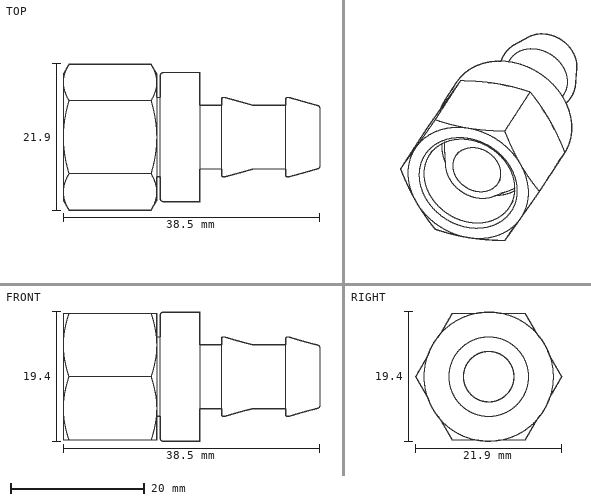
import cadquery as cq
import math

total_length = 38.5
nut_length = 14.0
collar_start = 14.5
collar_end = 20.5

across_flats = 18.98
corner_chamfer_angle = 30.0
thread_radius = 7.15
thread_chamfer = 0.58

nose_start = 4.15
nose_tip_radius = 4.93
nose_base_radius = 6.78
nose_half_angle = 20.0
nose_round = 0.27
nose_length = (nose_base_radius - nose_tip_radius) / math.tan(math.radians(nose_half_angle))
thread_depth = nose_start + nose_length

bore_radius = 3.77
neck_radius = 5.95
collar_radius = 9.7
collar_round = 0.5
shank_radius = 4.8
barb_radius = 5.95
first_barb_start = 23.7
first_barb_end = 28.4
end_barb_start = 33.35
barb_land = 0.5
barb_round = 0.25
tip_radius = 4.65
tip_round = 0.5


def cylinder(start, end, radius):
    """Solid cylinder on the X axis from start to end."""
    return cq.Workplane("YZ").workplane(offset=start).circle(radius).extrude(end - start)


def revolve_profile(points):
    """Solid of revolution about the X axis from (x, radius) points."""
    return cq.Workplane("XY").polyline(points).close().revolve(360, (0, 0, 0), (1, 0, 0))


def make_nut():
    """Hexagon with corners along Y, turned down at both ends to the flats circle."""
    flat_radius = across_flats / 2
    corner_radius = flat_radius / math.cos(math.pi / 6)
    setback = (corner_radius - flat_radius) * math.tan(math.radians(corner_chamfer_angle))
    hexagon = cq.Workplane("YZ").polygon(6, 2 * corner_radius).extrude(nut_length)
    turned_blank = revolve_profile([
        (0, 0),
        (0, flat_radius),
        (setback, corner_radius),
        (nut_length - setback, corner_radius),
        (nut_length, flat_radius),
        (nut_length, 0),
    ])
    thread_hole = revolve_profile([
        (0, 0),
        (0, thread_radius + thread_chamfer),
        (thread_chamfer, thread_radius),
        (thread_depth, thread_radius),
        (thread_depth, 0),
    ])
    return hexagon.intersect(turned_blank).cut(thread_hole)


def make_nose():
    """Convex sealing cone standing on the floor of the threaded hole."""
    cone = revolve_profile([
        (nose_start, 0),
        (nose_start, nose_tip_radius),
        (thread_depth, nose_base_radius),
        (thread_depth, 0),
    ])
    return cone.faces("<X").edges().fillet(nose_round)


def make_collar():
    collar = cylinder(collar_start, collar_end, collar_radius)
    return collar.faces("<X").edges().fillet(collar_round)


def make_barb(start, end, end_radius):
    """Square-backed hose barb tapering down to end_radius."""
    barb = revolve_profile([
        (start, 0),
        (start, barb_radius),
        (start + barb_land, barb_radius),
        (end, end_radius),
        (end, 0),
    ])
    return barb.faces("<X").edges().fillet(barb_round)


nut = make_nut()
nose = make_nose()
neck = cylinder(thread_depth, collar_start, neck_radius)
collar = make_collar()
shank = cylinder(collar_end, end_barb_start, shank_radius)
first_barb = make_barb(first_barb_start, first_barb_end, shank_radius)
end_barb = make_barb(end_barb_start, total_length, tip_radius)
end_barb = end_barb.faces(">X").edges().fillet(tip_round)

result = nut.union(nose).union(neck).union(collar).union(shank).union(first_barb).union(end_barb)
result = result.cut(cylinder(0, total_length, bore_radius))